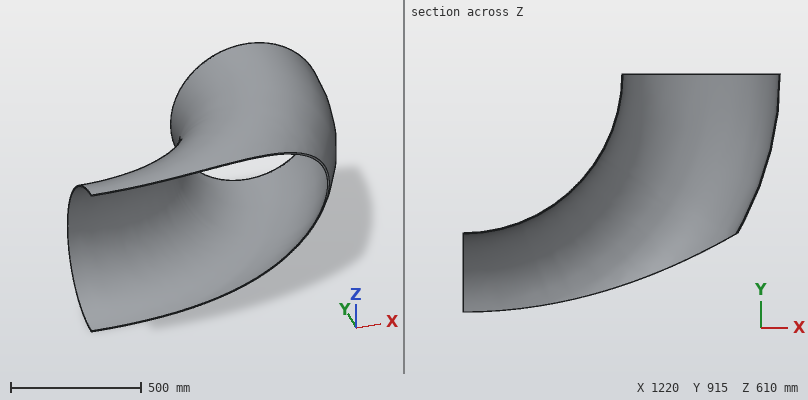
import cadquery as cq

pipe_diameter = 610.0
wall = 5.0
bend_radius = 1.5 * pipe_diameter

pipe_radius = pipe_diameter / 2
outer_bend_radius = bend_radius + pipe_radius
cutter_margin = pipe_radius


def bent_rod(radius):
    """Solid 90 degree bend about the Z axis, from the -Y axis round to the +X axis."""
    return (
        cq.Workplane("YZ")
        .center(-bend_radius, 0)
        .circle(radius)
        .revolve(90, (bend_radius, 0, 0), (bend_radius, 1, 0))
    )


def mitre_y(x):
    """Parabola on which the bend meets an equal straight pipe along its end tangent."""
    return x**2 / (4 * bend_radius) - bend_radius


def mitre_cutter():
    """Block below the mitre parabola, which removes the outer side of the bend."""
    reach = outer_bend_radius + cutter_margin
    vertex = (0, mitre_y(0))
    tangent_crossing = (reach / 2, mitre_y(0))
    far_end = (reach, mitre_y(reach))
    return (
        cq.Workplane("XY")
        .moveTo(*vertex)
        .bezier([vertex, tangent_crossing, far_end])
        .lineTo(reach, -reach)
        .lineTo(-cutter_margin, -reach)
        .lineTo(-cutter_margin, mitre_y(0))
        .close()
        .extrude(pipe_diameter, both=True)
    )


elbow = bent_rod(pipe_radius).cut(bent_rod(pipe_radius - wall))
result = elbow.cut(mitre_cutter())